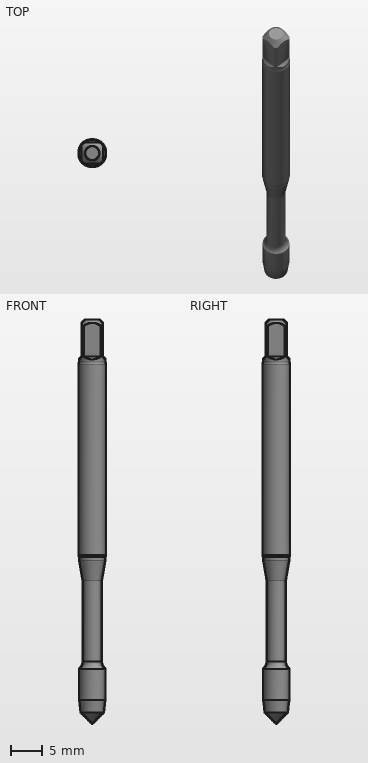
import cadquery as cq
import math

total_length = 64.85
lead_bottom_z = 1.8
thread_bottom_z = 3.8
thread_top_z = 8.8
head_top_z = 10.0
neck_top_z = 22.95
taper_top_z = 26.2
shank_bottom_z = 27.1
shank_top_z = 57.6
flat_bottom_z = 58.9

shank_diameter = 4.5
thread_diameter = 4.3
lead_top_diameter = 4.2
lead_bottom_diameter = 3.75
tip_diameter = 2 * lead_bottom_z
neck_diameter = 3.1
relieved_diameter = 4.2
drive_diameter = 4.3
drive_width = 3.4
drive_end_diameter = 2.3

shank_chamfer_length = 0.4
drive_chamfer = (drive_diameter - drive_end_diameter) / 2
flat_runout_angle = 45.0


def revolve_profile(points):
    """Turn a closed (radius, height) outline about the Z axis."""
    return cq.Workplane("XZ").polyline(points).close().revolve(360, (0, 0, 0), (0, 1, 0))


def make_flat_cutter():
    """Material removed above one drive flat, with a sloping runout at its lower end."""
    flat_y = drive_width / 2
    outer_y = shank_diameter
    runout_drop = (outer_y - flat_y) * math.tan(math.radians(flat_runout_angle))
    return (
        cq.Workplane("YZ")
        .moveTo(flat_y, flat_bottom_z)
        .lineTo(outer_y, flat_bottom_z - runout_drop)
        .lineTo(outer_y, total_length)
        .lineTo(flat_y, total_length)
        .close()
        .extrude(shank_diameter / 2, both=True)
    )


def make_shank():
    """Neck, tapered transition, round shank and square drive."""
    relieved_radius = relieved_diameter / 2
    drive_radius = drive_diameter / 2
    shank_radius = shank_diameter / 2
    body = revolve_profile([
        (0, head_top_z),
        (neck_diameter / 2, head_top_z),
        (neck_diameter / 2, neck_top_z),
        (relieved_radius, taper_top_z),
        (relieved_radius, shank_bottom_z - shank_chamfer_length),
        (shank_radius, shank_bottom_z),
        (shank_radius, shank_top_z),
        (drive_radius, shank_top_z + shank_chamfer_length),
        (drive_radius, total_length - drive_chamfer),
        (drive_end_diameter / 2, total_length),
        (0, total_length),
    ])
    flat_cutter = make_flat_cutter()
    for angle in (0, 90, 180, 270):
        body = body.cut(flat_cutter.rotate((0, 0, 0), (0, 0, 1), angle))
    return body


def make_cutting_head():
    """Pointed thread section with a tapered lead and a concave flare below the neck."""
    thread_radius = thread_diameter / 2
    neck_radius = neck_diameter / 2
    flare_length = head_top_z - thread_top_z
    flare_depth = thread_radius - neck_radius
    flare_radius = (flare_depth**2 + flare_length**2) / (2 * flare_depth)
    half_angle = math.asin(flare_length / flare_radius) / 2
    flare_middle = (
        neck_radius + flare_radius * (1 - math.cos(half_angle)),
        head_top_z - flare_radius * math.sin(half_angle),
    )
    return (
        cq.Workplane("XZ")
        .moveTo(0, 0)
        .lineTo(tip_diameter / 2, lead_bottom_z)
        .lineTo(lead_bottom_diameter / 2, lead_bottom_z)
        .lineTo(lead_top_diameter / 2, thread_bottom_z)
        .lineTo(thread_radius, thread_bottom_z)
        .lineTo(thread_radius, thread_top_z)
        .threePointArc(flare_middle, (neck_radius, head_top_z))
        .lineTo(0, head_top_z)
        .close()
        .revolve(360, (0, 0, 0), (0, 1, 0))
    )


shank = make_shank()
cutting_head = make_cutting_head()

result = cq.Compound.makeCompound([shank.val(), cutting_head.val()])